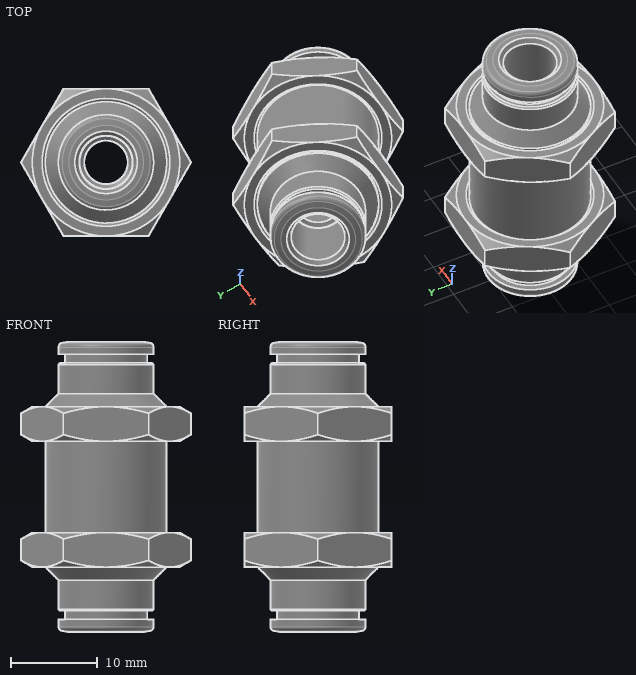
import cadquery as cq
import math

TOTAL_HEIGHT = 33.5
MID_HEIGHT = TOTAL_HEIGHT / 2

LIP_RADIUS = 11.0 / 2
LIP_HEIGHT = 1.47
LIP_ROUND = 0.5
FACE_RADIUS = 8.6 / 2
FACE_SLOPE = 10.0
NECK_RADIUS = 9.5 / 2
COLLAR_BORE_RADIUS = 6.2 / 2
COLLAR_MOUTH_RADIUS = 7.2 / 2
COLLAR_LENGTH = 7.37

BODY_END_DEPTH = 2.45
BODY_END_CHAMFER = 0.2
SPIGOT_RADIUS = LIP_RADIUS
BARREL_RADIUS = 14.0 / 2
NUT_DEPTH = 7.5
SHOULDER_RISE = BARREL_RADIUS - SPIGOT_RADIUS
POCKET_RADIUS = 9.6 / 2
SEAT_RADIUS = 6.1 / 2
BORE_RADIUS = 5.0 / 2
SEAT_SLOPE = 30.0

ACROSS_CORNERS = 19.63
ACROSS_FLATS = ACROSS_CORNERS * math.cos(math.radians(30))
NUT_HEIGHT = 4.0
NUT_CHAMFER_ANGLE = 30.0
NUT_MOUTH_RADIUS = 14.75 / 2


def revolve_profile(profile):
    """Turn a closed radius-height outline about the Z axis."""
    return profile.close().revolve(360, (0, 0, 0), (0, 1, 0))


def make_body():
    """Barrel with conical shoulders, spigots, collar pockets and a through bore."""
    end = TOTAL_HEIGHT - BODY_END_DEPTH
    nut_face = TOTAL_HEIGHT - NUT_DEPTH
    half = revolve_profile(
        cq.Workplane("XZ")
        .moveTo(0, MID_HEIGHT)
        .lineTo(BARREL_RADIUS, MID_HEIGHT)
        .lineTo(BARREL_RADIUS, nut_face)
        .lineTo(SPIGOT_RADIUS, nut_face + SHOULDER_RISE)
        .lineTo(SPIGOT_RADIUS, end - BODY_END_CHAMFER)
        .lineTo(SPIGOT_RADIUS - BODY_END_CHAMFER, end)
        .lineTo(0, end)
    )
    pocket_floor = TOTAL_HEIGHT - COLLAR_LENGTH
    seat_bottom = pocket_floor - (SEAT_RADIUS - BORE_RADIUS) * math.tan(math.radians(SEAT_SLOPE))
    cavity = revolve_profile(
        cq.Workplane("XZ")
        .moveTo(0, MID_HEIGHT)
        .lineTo(BORE_RADIUS, MID_HEIGHT)
        .lineTo(BORE_RADIUS, seat_bottom)
        .lineTo(SEAT_RADIUS, pocket_floor)
        .lineTo(POCKET_RADIUS, pocket_floor)
        .lineTo(POCKET_RADIUS, end)
        .lineTo(0, end)
    )
    upper = half.cut(cavity)
    return upper.union(turn_over(upper))


def make_collar():
    """Upper release collar: rounded lip on a neck, with a flared bore."""
    lip_bottom = TOTAL_HEIGHT - LIP_HEIGHT
    neck_bottom = TOTAL_HEIGHT - COLLAR_LENGTH
    flare = COLLAR_MOUTH_RADIUS - COLLAR_BORE_RADIUS
    slope = math.radians(FACE_SLOPE)
    arc_end = math.pi / 2 - slope
    arc_middle = arc_end / 2
    center_r = LIP_RADIUS - LIP_ROUND
    rim_r = center_r + LIP_ROUND * math.cos(arc_end)
    rim_z = TOTAL_HEIGHT - (rim_r - FACE_RADIUS) * math.tan(slope)
    center_z = rim_z - LIP_ROUND * math.sin(arc_end)
    return revolve_profile(
        cq.Workplane("XZ")
        .moveTo(COLLAR_BORE_RADIUS, neck_bottom)
        .lineTo(NECK_RADIUS, neck_bottom)
        .lineTo(NECK_RADIUS, lip_bottom)
        .lineTo(LIP_RADIUS, lip_bottom)
        .lineTo(LIP_RADIUS, center_z)
        .threePointArc(
            (center_r + LIP_ROUND * math.cos(arc_middle), center_z + LIP_ROUND * math.sin(arc_middle)),
            (rim_r, rim_z),
        )
        .lineTo(FACE_RADIUS, TOTAL_HEIGHT)
        .lineTo(COLLAR_MOUTH_RADIUS, TOTAL_HEIGHT)
        .lineTo(COLLAR_BORE_RADIUS, TOTAL_HEIGHT - flare)
    )


def make_nut():
    """Upper hexagonal nut, chamfered on its corners and countersunk at both faces."""
    top = TOTAL_HEIGHT - NUT_DEPTH
    bottom = top - NUT_HEIGHT
    corner_radius = ACROSS_CORNERS / 2
    flat_radius = ACROSS_FLATS / 2
    drop = (corner_radius - flat_radius) * math.tan(math.radians(NUT_CHAMFER_ANGLE))
    sink = NUT_MOUTH_RADIUS - BARREL_RADIUS
    prism = cq.Workplane("XY").workplane(offset=bottom).polygon(6, ACROSS_CORNERS).extrude(NUT_HEIGHT)
    turned_ring = revolve_profile(
        cq.Workplane("XZ")
        .moveTo(NUT_MOUTH_RADIUS, bottom)
        .lineTo(flat_radius, bottom)
        .lineTo(corner_radius, bottom + drop)
        .lineTo(corner_radius, top - drop)
        .lineTo(flat_radius, top)
        .lineTo(NUT_MOUTH_RADIUS, top)
        .lineTo(BARREL_RADIUS, top - sink)
        .lineTo(BARREL_RADIUS, bottom + sink)
    )
    return prism.intersect(turned_ring)


def turn_over(upper_part):
    """Copy of an upper part, turned end for end about the middle of the fitting."""
    return upper_part.rotate((0, 0, MID_HEIGHT), (1, 0, MID_HEIGHT), 180)


body = make_body()
end_parts = []
for make_part in (make_collar, make_nut):
    upper_part = make_part()
    end_parts += [upper_part.val(), turn_over(upper_part).val()]

result = cq.Compound.makeCompound([body.val(), *end_parts])